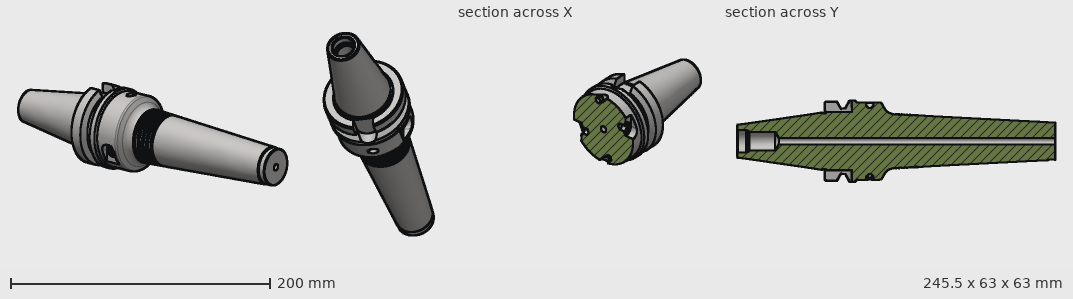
import cadquery as cq
import math

total_length = 245.5

gauge_x = 65.5
gauge_radius = 22.3
taper_slope = 7 / 48
shank_chamfer_length = 0.5
shank_chamfer_depth = 1.0
relief_radius = 43.5 / 2
relief_flank = 0.7

flange_face_x = 67.5
flange_radius = 63.0 / 2
flange_chamfer = 1.0
face_recess_radius = 23.8
face_recess_depth = 0.7
groove_start_x = 77.0
groove_end_x = 86.5
groove_radius = 26.5
groove_flank_angle = math.radians(60)
rim_chamfer = 1.5
flange_end_x = 92.5

body_radius = 60.0 / 2
shoulder_start_x = 110.2
shoulder_round = 1.7
shoulder_angle = math.radians(60)
flank_end_x = 113.9
neck_blend_radius = 8.3

nose_angle = math.radians(3)
nose_cone_end_x = 239.3
tip_start_x = 240.0
tip_radius = 29.0 / 2
tip_chamfer = 0.5

ring_count = 5
ring_first_x = 120.7
ring_pitch = 4.2
ring_width = 1.7
ring_depth = 0.37

slot_width = 16.0
slot_floor_z = 22.5
slot_end_x = 88.3

side_feature_x = 102.3
pocket_width = 11.8
pocket_floor_y = 22.5
pocket_center_z = 9.3
pocket_hole_steps = [(11.0, 0.7), (7.9, 1.5), (5.0, 6.1)]
oblique_diameter = 6.0
oblique_angle = 43
oblique_depth = 5.0
oblique_core_diameter = 5.0
oblique_core_depth = 8.5

bore_mouth_diameter = 18.7
bore_mouth_depth = 0.7
counterbore_diameter = 17.0
counterbore_depth = 7.0
thread_entry_diameter = 16.0
thread_entry_length = 1.5
thread_bore_diameter = 14.0
thread_bore_depth = 29.5
through_diameter = 5.0
drill_half_angle = math.radians(59)


def arc_point(center, radius, angle):
    """Point of a circle at an angle measured from the outward radial direction towards +X."""
    return (center[0] + radius * math.sin(angle), center[1] + radius * math.cos(angle))


def turned_body():
    small_end_radius = gauge_radius - gauge_x * taper_slope
    chamfer_end_radius = small_end_radius + shank_chamfer_length * taper_slope
    flank_run = (flange_radius - groove_radius) / math.tan(groove_flank_angle)

    round_center = (shoulder_start_x, body_radius - shoulder_round)
    round_end = arc_point(round_center, shoulder_round, shoulder_angle)
    flank_drop = (flank_end_x - round_end[0]) * math.tan(shoulder_angle)
    flank_end = (flank_end_x, round_end[1] - flank_drop)
    blend_center = (
        flank_end[0] + neck_blend_radius * math.sin(shoulder_angle),
        flank_end[1] + neck_blend_radius * math.cos(shoulder_angle),
    )
    blend_middle_angle = math.pi + (shoulder_angle + nose_angle) / 2
    blend_middle = arc_point(blend_center, neck_blend_radius, blend_middle_angle)
    blend_end = arc_point(blend_center, neck_blend_radius, math.pi + nose_angle)
    nose_drop = (nose_cone_end_x - blend_end[0]) * math.tan(nose_angle)

    profile = (
        cq.Workplane("XY")
        .moveTo(0, 0)
        .lineTo(0, small_end_radius - shank_chamfer_depth)
        .lineTo(shank_chamfer_length, chamfer_end_radius)
        .lineTo(gauge_x, gauge_radius)
        .lineTo(gauge_x + relief_flank, relief_radius)
        .lineTo(flange_face_x + face_recess_depth, relief_radius)
        .lineTo(flange_face_x + face_recess_depth, face_recess_radius)
        .lineTo(flange_face_x, face_recess_radius)
        .lineTo(flange_face_x, flange_radius - flange_chamfer)
        .lineTo(flange_face_x + flange_chamfer, flange_radius)
        .lineTo(groove_start_x, flange_radius)
        .lineTo(groove_start_x + flank_run, groove_radius)
        .lineTo(groove_end_x - flank_run, groove_radius)
        .lineTo(groove_end_x, flange_radius)
        .lineTo(flange_end_x - rim_chamfer, flange_radius)
        .lineTo(flange_end_x, body_radius)
        .lineTo(shoulder_start_x, body_radius)
        .threePointArc(arc_point(round_center, shoulder_round, shoulder_angle / 2), round_end)
        .lineTo(*flank_end)
        .threePointArc(blend_middle, blend_end)
        .lineTo(nose_cone_end_x, blend_end[1] - nose_drop)
        .lineTo(tip_start_x, tip_radius)
        .lineTo(total_length - tip_chamfer, tip_radius)
        .lineTo(total_length, tip_radius - tip_chamfer)
        .lineTo(total_length, 0)
        .close()
    )
    body = profile.revolve(360, (0, 0, 0), (1, 0, 0))

    for index in range(ring_count):
        start_x = ring_first_x + index * ring_pitch
        surface_radius = blend_end[1] - (start_x - blend_end[0]) * math.tan(nose_angle)
        body = body.cut(
            cq.Workplane("YZ", origin=(start_x, 0, 0))
            .circle(body_radius)
            .circle(surface_radius - ring_depth)
            .extrude(ring_width)
        )
    return body


def axial_bore():
    entry_end_x = counterbore_depth + thread_entry_length
    entry_chamfer = (thread_entry_diameter - thread_bore_diameter) / 2
    cone_drop = (thread_bore_diameter - through_diameter) / 2
    cone_end_x = thread_bore_depth + cone_drop / math.tan(drill_half_angle)
    return (
        cq.Workplane("XY")
        .moveTo(0, 0)
        .lineTo(0, bore_mouth_diameter / 2)
        .lineTo(bore_mouth_depth, counterbore_diameter / 2)
        .lineTo(counterbore_depth, counterbore_diameter / 2)
        .lineTo(counterbore_depth, thread_entry_diameter / 2)
        .lineTo(entry_end_x, thread_entry_diameter / 2)
        .lineTo(entry_end_x + entry_chamfer, thread_bore_diameter / 2)
        .lineTo(thread_bore_depth, thread_bore_diameter / 2)
        .lineTo(cone_end_x, through_diameter / 2)
        .lineTo(total_length, through_diameter / 2)
        .lineTo(total_length, 0)
        .close()
        .revolve(360, (0, 0, 0), (1, 0, 0))
    )


def drive_slot():
    """Round-ended slot open towards the shank, on the +Z side."""
    end_radius = slot_width / 2
    center_x = slot_end_x - end_radius
    return (
        cq.Workplane("XY", origin=(0, 0, slot_floor_z))
        .moveTo(gauge_x, -end_radius)
        .lineTo(center_x, -end_radius)
        .threePointArc((slot_end_x, 0), (center_x, end_radius))
        .lineTo(gauge_x, end_radius)
        .close()
        .extrude(flange_radius - slot_floor_z)
    )


def drill_point(diameter, base, direction):
    """Conical bottom of a drilled hole."""
    length = diameter / 2 / math.tan(drill_half_angle)
    return cq.Workplane(cq.Solid.makeCone(diameter / 2, 0, length, base, direction))


def side_pocket():
    """Flat pocket on the -Y side, round at the top and running out below, with its stepped hole."""
    end_radius = pocket_width / 2
    pocket = (
        cq.Workplane("XZ", origin=(side_feature_x, -pocket_floor_y, -pocket_center_z))
        .moveTo(-end_radius, -flange_radius)
        .lineTo(-end_radius, 0)
        .threePointArc((0, end_radius), (end_radius, 0))
        .lineTo(end_radius, -flange_radius)
        .close()
        .extrude(flange_radius - pocket_floor_y)
    )
    for diameter, depth in pocket_hole_steps:
        mouth = cq.Workplane("XZ", origin=(side_feature_x, -pocket_floor_y, -pocket_center_z))
        pocket = pocket.union(mouth.circle(diameter / 2).extrude(-depth))
    last_diameter, last_depth = pocket_hole_steps[-1]
    bottom = cq.Vector(side_feature_x, last_depth - pocket_floor_y, -pocket_center_z)
    return pocket.union(drill_point(last_diameter, bottom, cq.Vector(0, 1, 0)))


def oblique_hole():
    """Stepped blind hole entering the top of the body and leaning towards -Y."""
    overshoot = 2 * oblique_diameter
    core_bottom = cq.Vector(0, 0, -oblique_core_depth)
    mouth = cq.Workplane("XY", origin=(0, 0, -oblique_depth)).circle(oblique_diameter / 2)
    core = cq.Workplane("XY", origin=core_bottom).circle(oblique_core_diameter / 2)
    hole = (
        mouth.extrude(oblique_depth + overshoot)
        .union(core.extrude(oblique_core_depth))
        .union(drill_point(oblique_core_diameter, core_bottom, cq.Vector(0, 0, -1)))
    )
    return hole.rotate((0, 0, 0), (1, 0, 0), -oblique_angle).translate((side_feature_x, 0, body_radius))


result = turned_body().cut(axial_bore())
for cutter in (drive_slot(), side_pocket(), oblique_hole()):
    for turn in (0, 180):
        result = result.cut(cutter.rotate((0, 0, 0), (1, 0, 0), turn))